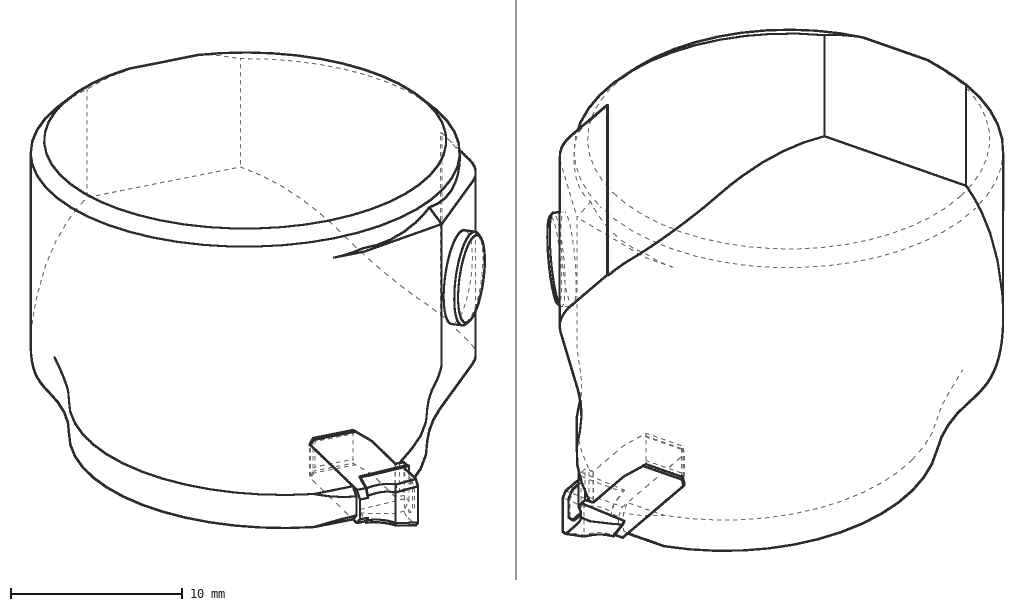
import cadquery as cq
import math

tower_radius = 12.5
tower_height = 13.85
top_chamfer = 0.8
flat_x = -11.5
slope_top_z = 6.05
slope_blend_radius = 8.02

lug_reach = 12.55
lug_height = 11.8
lug_top_rise = 1.0
lug_face_distance = 13.0
lug_face_angle = 42.0
lug_corner_radius = 4.0
lug_corner_x = 11.03
lug_side_y = 1.95
boss_diameter = 5.5
boss_rise = 0.82
boss_chamfer = 0.18

plate_thickness = 2.15
plate_centre_x = 10.55
plate_end_x = 22.55
flank_start_x = 11.28
flank_hollow_mid = (12.92, 6.05)
flank_inflection = (14.85, 4.9)
flank_round_mid = (17.08, 3.72)
flank_line_start = (19.4, 1.85)
flank_line_end = (20.85, 0.43)
cove_radius = 0.75

insert_back_x = 15.75
insert_back_bevel = 0.25
insert_end_x = 23.52
insert_end_bevel = 0.43
shank_top_y = 0.15
shank_bottom_y = -3.33
head_rise = 0.43
back_taper_length = 1.8
back_taper_rise = 0.4
back_corner_length = 0.8
back_corner_rise = 0.65
slot_corner_clearance = 0.1
tip_x = 24.3
tip_y = 0.05
ear_start_x = 20.87
ear_end_x = 21.6
ear_y = 0.68
ear_z = 2.22
chip_curve_mid = (21.95, 0.3)
chip_curve_end = (22.45, tip_y)
tip_back = (24.15, -1.35)
relief_mid = (23.7, -1.83)
relief_end_y = -2.47
head_end_y = -2.83
head_edge_z = 2.2
head_inner_corner = (21.55, -2.47)
head_bevel = 0.32
ramp_start_x = 21.35
ramp_points = [(21.75, 2.3), (22.12, 2.5)]
crest_x = 22.9
ramp_slant = 4.5


plate_centre_y = math.sqrt((2 * tower_radius) ** 2 - plate_centre_x ** 2) - 2 * tower_radius
side_arc_end = (plate_centre_x / 2, (plate_centre_y - 2 * tower_radius) / 2)

face_angle = math.radians(lug_face_angle)
face_normal = (math.sin(face_angle), math.cos(face_angle))


def on_boss_face(x):
    """Plan point on the boss face at the given X."""
    return (x, (lug_face_distance - face_normal[0] * x) / face_normal[1])


def on_circle(centre, radius, degrees):
    """Plan point on a circle, measured from +X."""
    angle = math.radians(degrees)
    return (centre[0] + radius * math.cos(angle), centre[1] + radius * math.sin(angle))


lug_corner = on_boss_face(lug_corner_x)
lug_side_end = (tower_radius, lug_side_y)
side_face_dir = (lug_corner[0] - lug_side_end[0], lug_corner[1] - lug_side_end[1])


def draw_lug_edge(sketch):
    """Continue an outline from the +Y side round the lug to the tower's +X side."""
    meet_x = (lug_face_distance - face_normal[1] * lug_reach) / face_normal[0]
    tangent_length = lug_corner_radius * math.tan(face_angle / 2)
    arc_start = (meet_x - tangent_length, lug_reach)
    arc_mid = on_circle((arc_start[0], lug_reach - lug_corner_radius),
                        lug_corner_radius, 90 - lug_face_angle / 2)
    arc_end = on_boss_face(meet_x + tangent_length * math.cos(face_angle))
    return (
        sketch.lineTo(0, lug_reach)
        .lineTo(*arc_start)
        .threePointArc(arc_mid, arc_end)
        .lineTo(*lug_corner)
        .lineTo(*lug_side_end)
        .lineTo(tower_radius, 0)
    )


def make_tower():
    """Round tower with its top chamfer and the angular lug on the +X +Y side."""
    tower = cq.Workplane("XY").circle(tower_radius).extrude(tower_height)
    tower = tower.faces(">Z").chamfer(top_chamfer)
    outline = (
        cq.Workplane("XY")
        .moveTo(0, -tower_radius)
        .threePointArc((-tower_radius, 0), (0, tower_radius))
    )
    lower = (
        draw_lug_edge(outline)
        .threePointArc(on_circle((0, 0), tower_radius, -45), (0, -tower_radius))
        .close()
        .extrude(lug_height)
    )
    lug_top = (
        draw_lug_edge(cq.Workplane("XY").workplane(offset=lug_height).moveTo(0, 0))
        .close()
        .extrude(lug_top_rise, taper=45)
    )
    return tower.union(lower).union(lug_top)


def make_plate(height):
    """Prism on the plate outline; the side towards the insert is trimmed by its slot."""
    centre = (plate_centre_x, plate_centre_y)
    side_mid_angle = 90 - math.degrees(math.asin(plate_centre_x / (2 * tower_radius))) / 2
    side_mid = on_circle((0, -2 * tower_radius), tower_radius, side_mid_angle)
    return (
        cq.Workplane("XY")
        .moveTo(0, 0)
        .lineTo(0, -tower_radius)
        .threePointArc(side_mid, side_arc_end)
        .threePointArc(on_circle(centre, tower_radius, -45),
                       on_circle(centre, tower_radius, 0))
        .lineTo(ear_start_x, plate_centre_y)
        .lineTo(*flank_line_end)
        .lineTo(*flank_line_start)
        .threePointArc(flank_round_mid, flank_inflection)
        .threePointArc(flank_hollow_mid, on_boss_face(flank_start_x))
        .lineTo(*lug_corner)
        .close()
        .extrude(height)
    )


def make_end_bevels():
    """Wedges that bevel the upper and lower edges of the plate's round end."""
    reach = 0.7
    upper = (
        cq.Workplane("XZ")
        .polyline([(plate_end_x, plate_thickness),
                   (plate_end_x + reach, plate_thickness),
                   (plate_end_x + reach, plate_thickness - reach)])
        .close()
        .extrude(tower_radius, both=True)
    )
    return upper.union(upper.mirror("XY", (0, 0, plate_thickness / 2)))


def make_cove():
    """Cove that runs along the foot of the tower, clipped to the plate outline."""
    inset = 0.35
    overrun = 1.3
    z = plate_thickness
    path = (
        cq.Workplane("XY")
        .workplane(offset=z)
        .moveTo(0, -tower_radius)
        .threePointArc(on_circle((0, 0), tower_radius, -45), (tower_radius, 0))
        .lineTo(*lug_side_end)
        .lineTo(lug_side_end[0] + overrun * side_face_dir[0],
                lug_side_end[1] + overrun * side_face_dir[1])
    )
    bend = cove_radius * (1 - math.sqrt(0.5))
    profile = (
        cq.Workplane("YZ")
        .moveTo(-tower_radius - cove_radius, z)
        .threePointArc((-tower_radius - bend, z + bend), (-tower_radius, z + cove_radius))
        .lineTo(-tower_radius + inset, z + cove_radius)
        .lineTo(-tower_radius + inset, z)
        .close()
    )
    cove = profile.sweep(path, transition="right")
    return cove.intersect(make_plate(z + cove_radius))


def make_boss():
    """Short round boss standing on the lug's angled face."""
    root = 1.43
    start = lug_face_distance - root
    plane = cq.Plane(
        origin=(start * face_normal[0], start * face_normal[1], tower_height / 2),
        xDir=(0, 0, 1),
        normal=(face_normal[0], face_normal[1], 0),
    )
    boss = cq.Workplane(plane).circle(boss_diameter / 2).extrude(root + boss_rise)
    outward = cq.Vector(face_normal[0], face_normal[1], 0)
    return boss.faces(cq.selectors.DirectionMinMaxSelector(outward)).chamfer(boss_chamfer)


def make_underside_cut():
    """Material removed below the 45 degree underside and beyond the flat."""
    corner_x = flat_x + slope_top_z
    tangent_length = slope_blend_radius * math.tan(math.radians(22.5))
    slope_end = (corner_x - tangent_length * math.sqrt(0.5), tangent_length * math.sqrt(0.5))
    blend_end_x = corner_x + tangent_length
    blend_mid = on_circle((blend_end_x, slope_blend_radius), slope_blend_radius, 247.5)
    return (
        cq.Workplane("XZ")
        .moveTo(blend_end_x, 0)
        .threePointArc(blend_mid, slope_end)
        .lineTo(flat_x, slope_top_z)
        .lineTo(flat_x, tower_height)
        .lineTo(-2 * tower_radius, tower_height)
        .lineTo(-2 * tower_radius, 0)
        .close()
        .extrude(2 * tower_radius, both=True)
    )


def make_shank_bar(corner_clearance=0.0):
    """Square-edged bar on the insert's plan, or on that of its slot with a clear corner."""
    return (
        cq.Workplane("XY")
        .polyline([
            (insert_back_x, shank_top_y - back_taper_rise),
            (insert_back_x + back_taper_length, shank_top_y),
            (insert_end_x, shank_top_y),
            (insert_end_x, shank_bottom_y),
            (insert_back_x + back_corner_length - corner_clearance, shank_bottom_y),
            (insert_back_x, shank_bottom_y + back_corner_rise - corner_clearance),
        ])
        .close()
        .extrude(plate_thickness)
    )


def make_shank():
    """Bar flush with the plate, bevelled at both ends."""
    shank = make_shank_bar().faces("<X").edges("|Y").chamfer(insert_back_bevel)
    return shank.faces(">X").edges("|Y").chamfer(insert_end_bevel)


def mirror_pair(upper_points):
    """Close a profile with its mirror image about the mid-height of the plate."""
    lower_points = [(across, plate_thickness - z) for across, z in reversed(upper_points)]
    return upper_points + lower_points


def make_head():
    """Cutting head: bevelled wedge on the plan outline, with slanted ramps at its back."""
    top = plate_thickness + head_rise
    plan = (
        cq.Workplane("XY")
        .workplane(offset=-head_rise)
        .moveTo(ear_start_x, ear_y)
        .lineTo(ear_end_x, ear_y)
        .threePointArc(chip_curve_mid, chip_curve_end)
        .lineTo(tip_x, tip_y)
        .lineTo(*tip_back)
        .threePointArc(relief_mid, (insert_end_x, relief_end_y))
        .lineTo(insert_end_x, head_end_y)
        .lineTo(*head_inner_corner)
        .lineTo(ear_start_x, head_inner_corner[1])
        .close()
        .extrude(top + head_rise)
    )
    wedge = (
        cq.Workplane("YZ")
        .polyline(mirror_pair([
            (head_end_y, head_edge_z),
            (tip_y, top),
            (ear_y, ear_z),
        ]))
        .close()
        .extrude(2 * tip_x)
    )
    head = plan.intersect(wedge)
    margin = 0.05
    end_zone = cq.selectors.BoxSelector(
        (insert_end_x - margin, head_end_y + margin, -top),
        (tip_x + margin, tip_y - margin, 2 * top),
    )
    head = head.edges(end_zone).edges("not |Z").chamfer(head_bevel)
    overrun = 0.35
    ramps = (
        cq.Workplane("XZ")
        .polyline(mirror_pair([
            (ear_start_x - overrun, plate_thickness),
            (ramp_start_x, plate_thickness),
            *ramp_points,
            (crest_x, top),
            (tip_x + overrun, top),
        ]))
        .close()
        .extrude(2 * tower_radius, both=True)
        .rotate((ramp_start_x, 0, 0), (ramp_start_x, 0, 1), ramp_slant)
    )
    return head.intersect(ramps)


def make_holder(insert):
    """Tower, plate, cove and boss in one piece, with the slot that seats the insert."""
    plate = make_plate(plate_thickness).cut(make_end_bevels())
    holder = make_tower().union(plate).union(make_cove()).union(make_boss())
    return holder.cut(make_underside_cut()).cut(make_shank_bar(slot_corner_clearance)).cut(insert)


insert = make_shank().union(make_head())
holder = make_holder(insert)
result = cq.Compound.makeCompound([holder.val(), insert.val()])